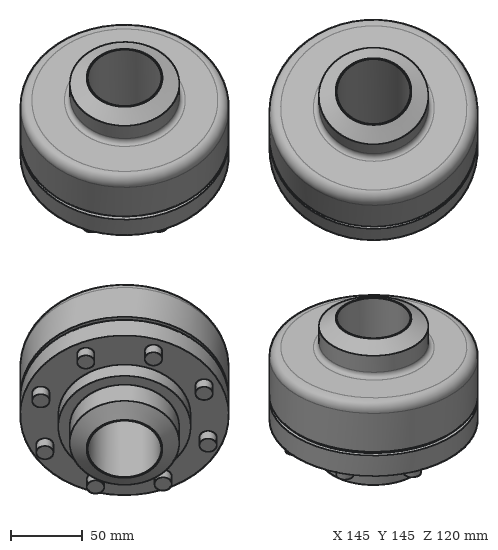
import cadquery as cq

body_radius = 145 / 2
groove_radius = 139.0 / 2
collar_radius = 92.1 / 2
neck_radius = 76.1 / 2
neck_end_radius = 52.8 / 2
bore_radius = 51.0 / 2

total_height = 120.0
neck_chamfer_height = 6.5
collar_bottom = 24.0
cover_bottom = 36.2
groove_bottom = 53.2
groove_top = 56.4
body_top = 96.1

body_edge_fillet = 7.8
neck_root_fillet = 3.9

bolt_count = 8
bolt_diameter = 12.0
bolt_circle_radius = 61.5
bolt_head_height = 8.3


def make_turned_body():
    """Revolve the half section: pipe ends, collar, cover, groove and rounded housing."""
    return (
        cq.Workplane("XZ")
        .moveTo(bore_radius, 0)
        .lineTo(neck_end_radius, 0)
        .lineTo(neck_radius, neck_chamfer_height)
        .lineTo(neck_radius, collar_bottom)
        .lineTo(collar_radius, collar_bottom)
        .lineTo(collar_radius, cover_bottom)
        .lineTo(body_radius, cover_bottom)
        .lineTo(body_radius, groove_bottom)
        .lineTo(groove_radius, groove_bottom)
        .lineTo(groove_radius, groove_top)
        .lineTo(body_radius, groove_top)
        .lineTo(body_radius, body_top - body_edge_fillet)
        .radiusArc((body_radius - body_edge_fillet, body_top), -body_edge_fillet)
        .lineTo(neck_radius + neck_root_fillet, body_top)
        .radiusArc((neck_radius, body_top + neck_root_fillet), neck_root_fillet)
        .lineTo(neck_radius, total_height - neck_chamfer_height)
        .lineTo(neck_end_radius, total_height)
        .lineTo(bore_radius, total_height)
        .close()
        .revolve(360, (0, 0, 0), (0, 1, 0))
    )


def make_bolt_heads():
    return (
        cq.Workplane("XY")
        .workplane(offset=cover_bottom)
        .polarArray(bolt_circle_radius, 0, 360, bolt_count)
        .circle(bolt_diameter / 2)
        .extrude(-bolt_head_height)
    )


result = make_turned_body().union(make_bolt_heads())